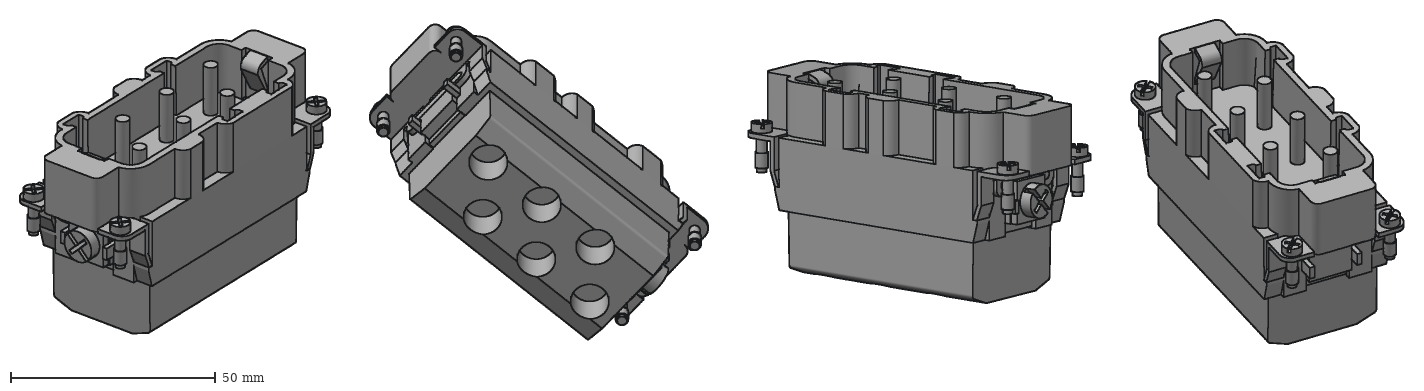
import cadquery as cq

HOUSING_TOP = 48.35
FLANGE_TOP = 34.65
SHEET = 1.25
FLANGE_BOTTOM = FLANGE_TOP - SHEET
BODY_BOTTOM = 16.5
SHOULDER_TOP = 22.3
SHOULDER_BREAK = 21.3
LEG_BEND = 26.2

WIDTH = 34.0
LENGTH = 83.5
HALF_WIDTH = WIDTH / 2
HALF_LENGTH = LENGTH / 2

PANEL_END = 30.55
WALL_END = 31.85
WALL_HALF_WIDTH = 12.2
WINDOW_WIDTH = 11.8
WINDOW_LIP = 0.5
BODY_BOTTOM_WIDTH = 33.7

LOWER_HALF_WIDTH = 15.0
LOWER_END_TOP = 29.15
LOWER_END_BOTTOM = 28.85
LOWER_FLAT_HALF_WIDTH = 9.5
LOWER_BEVEL_HEIGHT = 2.1
LOWER_EDGE_RADIUS = 1.0
WIRE_HOLE_DIAMETER = 9.4
WIRE_HOLE_DEPTH = 10.0

SHELL_WALL = 2.0
CAVITY_HALF_WIDTH = 11.9
CAVITY_FLOOR_HALF_WIDTH = 11.6
CAVITY_HALF_LENGTH = 31.6
CAVITY_RADIUS = 3.9
SHELL_HALF_WIDTH = CAVITY_HALF_WIDTH + SHELL_WALL
SHELL_HALF_LENGTH = CAVITY_HALF_LENGTH + SHELL_WALL
SHELL_RADIUS = CAVITY_RADIUS + SHELL_WALL
END_BLOCK_WIDTH = 17.7
END_BLOCK_RADIUS = 2.1

PIN_PITCH = 17.4
PIN_ROW_X = 6.0
PIN_DIAMETER = 3.55
PIN_TOP = 48.0
LEFT_ROW_Y = [PIN_PITCH * (i + 0.25) for i in (-1, 0, 1)]
RIGHT_ROW_Y = [-y for y in LEFT_ROW_Y]

LOBE_CORNER_LENGTH = 2.3
KEY_LOBE_HALF_LENGTH = 5.2
BLANK_LOBE_LENGTH = 9.4
KEY_WIDTH = 4.5
KEY_BOTTOM_X = 15.3
WING_LENGTH = 6.2
WING_INNER_X = 13.4
WING_RADIUS = 0.7
WING_FLOOR = 38.3
LEFT_KEY_Y = (RIGHT_ROW_Y[0], RIGHT_ROW_Y[2])
RIGHT_KEY_Y = (LEFT_ROW_Y[1], LEFT_ROW_Y[2])
RIGHT_BLANK_LOBE_Y = LEFT_ROW_Y[0]

LATCH_WIDTH = 5.4
LATCH_SLOT_WIDTH = 8.3
LATCH_SLOT_END = 33.2
LATCH_TOP = 48.2
LATCH_FOOT = 37.5
LATCH_CREASE = (30.85, 47.3)
LATCH_NOSE_END = (29.4, 44.6)
LATCH_INNER_TOP = 46.9
LATCH_INNER_TIP = (30.7, 45.9)
LATCH_INNER_FOOT = 39.2

LEG_OUTER = 33.3
LEG_INNER = LEG_OUTER - SHEET
LEG_FOOT_SHIFT = 1.45
FLANGE_RADIUS = 3.0
TONGUE_HALF_WIDTH = 11.1
TONGUE_BOTTOM = 27.1
TONGUE_RADIUS = 2.3
SLIT_TOP = 31.7
RIB_Z = 29.9
RIB_RADIUS = 1.6
RIB_CORE_HALF_LENGTH = 8.1
RIB_PROTRUSION = 0.55
NOTCH_X = 3.75
NOTCH_WIDTH = 2.4
NOTCH_HEIGHT = 1.3

SCREW_X = 13.5
SCREW_Y = 38.8
HEAD_DIAMETER = 5.1
HEAD_HEIGHT = 2.25
SHANK_DIAMETER = 2.7
THREAD_DIAMETER = 3.2
TIP_DIAMETER = 2.4
THREAD_TOP = 29.4
THREAD_BOTTOM = 25.6
TIP_BOTTOM = 24.5
SCREW_SLOT_WIDTH = 0.8
SCREW_SLOT_DEPTH = 1.1
SCREW_CROSS_LENGTH = 3.6

TERMINAL_ROOT = 29.0
PLATE_WIDTH = 11.7
PLATE_BOTTOM = 19.8
POST_OUTER_X = 7.2
POST_BOTTOM = 22.85
POST_TOP = 26.1
POST_END = 36.1
BLOCK_SIZE = 10.8
BLOCK_END = 35.15
TERMINAL_SCREW_DIAMETER = 8.4
TERMINAL_SCREW_END = 38.4
TERMINAL_SCREW_Z = PLATE_BOTTOM + BLOCK_SIZE / 2
TERMINAL_SLOT_WIDTH = 1.1
TERMINAL_SLOT_DEPTH = 2.6
RECESS_LENGTH = 6.4
RECESS_DEPTH = 5.0


def box(x0, x1, y0, y1, z0, z1):
    """Axis-aligned box between the given limits."""
    return cq.Workplane("XY").box(x1 - x0, y1 - y0, z1 - z0, centered=False).translate((x0, y0, z0))


def wide_box(width, y0, y1, z0, z1):
    """Box centred on X = 0."""
    return box(-width / 2, width / 2, y0, y1, z0, z1)


def side_profile(points, width):
    """Extrude an outline given as (y, z) points symmetrically along X."""
    return cq.Workplane("YZ").polyline(points).close().extrude(width / 2, both=True)


def rod(x, y, diameter, z0, z1):
    """Vertical cylinder."""
    return cq.Workplane("XY", origin=(x, y, z0)).circle(diameter / 2).extrude(z1 - z0)


def both_ends(shape):
    """A shape together with its mirror image at the other Y end."""
    return shape.union(shape.mirror("XZ"))


def make_lower_body():
    front = (
        cq.Workplane("XZ")
        .polyline([
            (-LOWER_FLAT_HALF_WIDTH, 0),
            (LOWER_FLAT_HALF_WIDTH, 0),
            (LOWER_HALF_WIDTH, LOWER_BEVEL_HEIGHT),
            (LOWER_HALF_WIDTH, BODY_BOTTOM),
            (-LOWER_HALF_WIDTH, BODY_BOTTOM),
            (-LOWER_HALF_WIDTH, LOWER_BEVEL_HEIGHT),
        ])
        .close()
        .extrude(HALF_LENGTH, both=True)
    )
    for side in (-1, 1):
        corner = cq.selectors.NearestToPointSelector((side * LOWER_HALF_WIDTH, 0, LOWER_BEVEL_HEIGHT))
        front = front.edges("|Y").edges(corner).fillet(LOWER_EDGE_RADIUS)
    drafted = side_profile([
        (-LOWER_END_BOTTOM, 0),
        (LOWER_END_BOTTOM, 0),
        (LOWER_END_TOP, BODY_BOTTOM),
        (-LOWER_END_TOP, BODY_BOTTOM),
    ], WIDTH)
    body = front.intersect(drafted)
    for x, row in ((-PIN_ROW_X, LEFT_ROW_Y), (PIN_ROW_X, RIGHT_ROW_Y)):
        for y in row:
            body = body.cut(rod(x, y, WIRE_HOLE_DIAMETER, 0, WIRE_HOLE_DEPTH))
    return body


def make_upper_body():
    half = [
        (PANEL_END, BODY_BOTTOM),
        (WALL_END, SHOULDER_BREAK),
        (WALL_END, SHOULDER_TOP),
        (PANEL_END, SHOULDER_TOP),
        (PANEL_END, FLANGE_TOP),
    ]
    outline = half + [(-y, z) for y, z in reversed(half)]
    body = side_profile(outline, WIDTH)
    body = body.union(wide_box(2 * WALL_HALF_WIDTH, -WALL_END, WALL_END, BODY_BOTTOM, FLANGE_TOP))
    half_bottom = BODY_BOTTOM_WIDTH / 2
    drafted = (
        cq.Workplane("XZ")
        .polyline([
            (-half_bottom, BODY_BOTTOM),
            (half_bottom, BODY_BOTTOM),
            (HALF_WIDTH, FLANGE_TOP),
            (-HALF_WIDTH, FLANGE_TOP),
        ])
        .close()
        .extrude(HALF_LENGTH, both=True)
    )
    body = body.intersect(drafted)
    lip_top = BODY_BOTTOM + WINDOW_LIP
    window = wide_box(WINDOW_WIDTH, PANEL_END, WALL_END, lip_top, TONGUE_BOTTOM)
    lip = wide_box(WINDOW_WIDTH, LOWER_END_TOP, WALL_END, BODY_BOTTOM, lip_top)
    return body.cut(both_ends(window.union(lip)))


def make_lobe(side, y0, y1):
    """Rounded bump on the outside of a long shell wall; side is -1 or 1 in X."""
    lobe = (
        cq.Workplane("XY", origin=(0, 0, FLANGE_TOP))
        .moveTo(CAVITY_HALF_WIDTH, y0)
        .lineTo(SHELL_HALF_WIDTH, y0)
        .tangentArcPoint((HALF_WIDTH, y0 + LOBE_CORNER_LENGTH), relative=False)
        .lineTo(HALF_WIDTH, y1)
        .lineTo(CAVITY_HALF_WIDTH, y1)
        .close()
        .extrude(HOUSING_TOP - FLANGE_TOP)
    )
    lobe = lobe.intersect(lobe.mirror("XZ").translate((0, y0 + y1, 0)))
    return lobe if side > 0 else lobe.mirror("YZ")


def make_key_slot(side, y):
    """T-shaped key slot: a full-height throat with a wider, shallower head."""
    half = KEY_WIDTH / 2
    throat = box(PIN_ROW_X, KEY_BOTTOM_X, y - half, y + half, FLANGE_TOP, HOUSING_TOP)
    half = WING_LENGTH / 2
    head = box(WING_INNER_X, KEY_BOTTOM_X, y - half, y + half, WING_FLOOR, HOUSING_TOP)
    head = head.edges("|Z and <X").fillet(WING_RADIUS)
    slot = throat.union(head)
    return slot if side > 0 else slot.mirror("YZ")


def make_cavity():
    rounded = box(
        -CAVITY_HALF_WIDTH, CAVITY_HALF_WIDTH, -CAVITY_HALF_LENGTH, CAVITY_HALF_LENGTH, FLANGE_TOP, HOUSING_TOP
    ).edges("|Z").fillet(CAVITY_RADIUS)
    drafted = (
        cq.Workplane("XZ")
        .polyline([
            (-CAVITY_FLOOR_HALF_WIDTH, FLANGE_TOP),
            (CAVITY_FLOOR_HALF_WIDTH, FLANGE_TOP),
            (CAVITY_HALF_WIDTH, HOUSING_TOP),
            (-CAVITY_HALF_WIDTH, HOUSING_TOP),
        ])
        .close()
        .extrude(HALF_LENGTH, both=True)
    )
    slot = wide_box(LATCH_SLOT_WIDTH, PANEL_END, LATCH_SLOT_END, FLANGE_TOP, HOUSING_TOP)
    return rounded.intersect(drafted).union(both_ends(slot))


def make_housing():
    shell = box(
        -SHELL_HALF_WIDTH, SHELL_HALF_WIDTH, -SHELL_HALF_LENGTH, SHELL_HALF_LENGTH, FLANGE_BOTTOM, HOUSING_TOP
    ).edges("|Z").fillet(SHELL_RADIUS)
    block = wide_box(END_BLOCK_WIDTH, PANEL_END, HALF_LENGTH, FLANGE_BOTTOM, HOUSING_TOP)
    shell = shell.union(both_ends(block.edges("|Z and >Y").fillet(END_BLOCK_RADIUS)))

    for y in LEFT_KEY_Y:
        shell = shell.union(make_lobe(-1, y - KEY_LOBE_HALF_LENGTH, y + KEY_LOBE_HALF_LENGTH))
    shell = shell.union(make_lobe(-1, -BLANK_LOBE_LENGTH / 2, BLANK_LOBE_LENGTH / 2))
    long_lobe = make_lobe(1, min(RIGHT_KEY_Y) - KEY_LOBE_HALF_LENGTH, max(RIGHT_KEY_Y) + KEY_LOBE_HALF_LENGTH)
    blank_start = RIGHT_BLANK_LOBE_Y - BLANK_LOBE_LENGTH / 2
    blank_lobe = make_lobe(1, blank_start, blank_start + BLANK_LOBE_LENGTH)
    shell = shell.union(long_lobe).union(blank_lobe)

    shell = shell.cut(make_cavity())
    for y in LEFT_KEY_Y:
        shell = shell.cut(make_key_slot(-1, y))
    for y in RIGHT_KEY_Y:
        shell = shell.cut(make_key_slot(1, y))
    return shell


def make_latch():
    """Folded spring strip with a rounded nose, standing in the +Y latch slot."""
    strip = (
        cq.Workplane("YZ")
        .moveTo(LATCH_SLOT_END, LATCH_TOP)
        .lineTo(*LATCH_CREASE)
        .tangentArcPoint(LATCH_NOSE_END, relative=False)
        .lineTo(LATCH_SLOT_END, LATCH_FOOT)
        .close()
        .extrude(LATCH_WIDTH / 2, both=True)
    )
    fold = side_profile([
        (LATCH_SLOT_END, LATCH_INNER_TOP),
        LATCH_INNER_TIP,
        (LATCH_SLOT_END, LATCH_INNER_FOOT),
    ], LATCH_WIDTH)
    return strip.cut(fold)


def make_pins():
    pins = cq.Workplane()
    for x, row in ((-PIN_ROW_X, LEFT_ROW_Y), (PIN_ROW_X, RIGHT_ROW_Y)):
        for y in row:
            pins = pins.union(rod(x, y, PIN_DIAMETER, FLANGE_BOTTOM, PIN_TOP))
    return pins


def make_bracket():
    """Sheet bracket at the +Y end: flange, bent side legs and ribbed tongue."""
    flange = wide_box(WIDTH, LEG_INNER, HALF_LENGTH, FLANGE_BOTTOM, FLANGE_TOP)
    flange = flange.edges("|Z and >Y").fillet(FLANGE_RADIUS)
    flange = flange.cut(wide_box(END_BLOCK_WIDTH, SHELL_HALF_LENGTH, HALF_LENGTH, FLANGE_BOTTOM, FLANGE_TOP))

    legs = side_profile([
        (LEG_OUTER, FLANGE_TOP),
        (LEG_OUTER, LEG_BEND),
        (LEG_OUTER - LEG_FOOT_SHIFT, SHOULDER_TOP),
        (LEG_INNER - LEG_FOOT_SHIFT, SHOULDER_TOP),
        (LEG_INNER, LEG_BEND),
        (LEG_INNER, FLANGE_TOP),
    ], WIDTH)
    legs = legs.cut(wide_box(2 * WALL_HALF_WIDTH, PANEL_END, LEG_OUTER, SHOULDER_TOP, SLIT_TOP))

    tongue = wide_box(2 * TONGUE_HALF_WIDTH, WALL_END, LEG_OUTER, TONGUE_BOTTOM, FLANGE_BOTTOM)
    tongue = tongue.edges("|Y and <Z").fillet(TONGUE_RADIUS)
    bracket = flange.union(legs).union(tongue)
    for x in (-NOTCH_X, NOTCH_X):
        notch = wide_box(NOTCH_WIDTH, LEG_INNER, LEG_OUTER, FLANGE_BOTTOM - NOTCH_HEIGHT, FLANGE_BOTTOM)
        bracket = bracket.cut(notch.translate((x, 0, 0)))

    rib_y = LEG_OUTER + RIB_PROTRUSION - RIB_RADIUS
    rib_axis = cq.Workplane("YZ", origin=(0, rib_y, RIB_Z))
    rib = rib_axis.circle(RIB_RADIUS).extrude(RIB_CORE_HALF_LENGTH, both=True)
    for x in (-RIB_CORE_HALF_LENGTH, RIB_CORE_HALF_LENGTH):
        rib = rib.union(cq.Workplane("XY").sphere(RIB_RADIUS).translate((x, rib_y, RIB_Z)))
    return bracket.union(rib)


def make_screw(x, y):
    head_top = FLANGE_TOP + HEAD_HEIGHT
    head = rod(0, 0, HEAD_DIAMETER, FLANGE_TOP, head_top)
    slot_floor = head_top - SCREW_SLOT_DEPTH
    for length, angle in ((HEAD_DIAMETER, 45), (SCREW_CROSS_LENGTH, -45)):
        slot = box(
            -length / 2, length / 2, -SCREW_SLOT_WIDTH / 2, SCREW_SLOT_WIDTH / 2, slot_floor, head_top
        )
        head = head.cut(slot.rotate((0, 0, 0), (0, 0, 1), angle))
    screw = (
        head.union(rod(0, 0, SHANK_DIAMETER, THREAD_TOP, FLANGE_TOP))
        .union(rod(0, 0, THREAD_DIAMETER, THREAD_BOTTOM, THREAD_TOP))
        .union(rod(0, 0, TIP_DIAMETER, TIP_BOTTOM, THREAD_BOTTOM))
    )
    return screw.translate((x, y, 0))


def make_terminal():
    """Earth contact plate with a post on each side, at the +Y end."""
    plate = wide_box(PLATE_WIDTH, TERMINAL_ROOT, LEG_OUTER, PLATE_BOTTOM, TONGUE_BOTTOM)
    post = box(PLATE_WIDTH / 2, POST_OUTER_X, TERMINAL_ROOT, POST_END, POST_BOTTOM, POST_TOP)
    return plate.union(post).union(post.mirror("YZ"))


def make_clamp():
    """Square terminal block with its slotted screw at the -Y end."""
    clamp = wide_box(BLOCK_SIZE, -BLOCK_END, -TERMINAL_ROOT, PLATE_BOTTOM, PLATE_BOTTOM + BLOCK_SIZE)
    axis_origin = (0, -BLOCK_END, TERMINAL_SCREW_Z)
    head = (
        cq.Workplane("XZ", origin=axis_origin)
        .circle(TERMINAL_SCREW_DIAMETER / 2)
        .extrude(TERMINAL_SCREW_END - BLOCK_END)
    )
    clamp = clamp.union(head)
    slot = box(
        -TERMINAL_SCREW_DIAMETER / 2, TERMINAL_SCREW_DIAMETER / 2,
        -TERMINAL_SCREW_END, TERMINAL_SLOT_DEPTH - TERMINAL_SCREW_END,
        -TERMINAL_SLOT_WIDTH / 2, TERMINAL_SLOT_WIDTH / 2,
    )
    recess_arm = (
        cq.Workplane("XY")
        .polyline([
            (-RECESS_LENGTH / 2, -TERMINAL_SCREW_END),
            (RECESS_LENGTH / 2, -TERMINAL_SCREW_END),
            (0, RECESS_DEPTH - TERMINAL_SCREW_END),
        ])
        .close()
        .extrude(TERMINAL_SLOT_WIDTH / 2, both=True)
    )
    for cutter, angle in ((slot, 45), (recess_arm, 45), (recess_arm, -45)):
        turned = cutter.rotate((0, 0, 0), (0, 1, 0), angle)
        clamp = clamp.cut(turned.translate((0, 0, TERMINAL_SCREW_Z)))
    return clamp


result = make_lower_body().union(make_upper_body()).union(make_housing())
result = result.union(make_pins())
result = result.union(both_ends(make_latch()))
result = result.union(both_ends(make_bracket()))
result = result.union(both_ends(make_terminal()))
result = result.union(make_clamp())
for screw_x in (-SCREW_X, SCREW_X):
    for screw_y in (-SCREW_Y, SCREW_Y):
        result = result.union(make_screw(screw_x, screw_y))